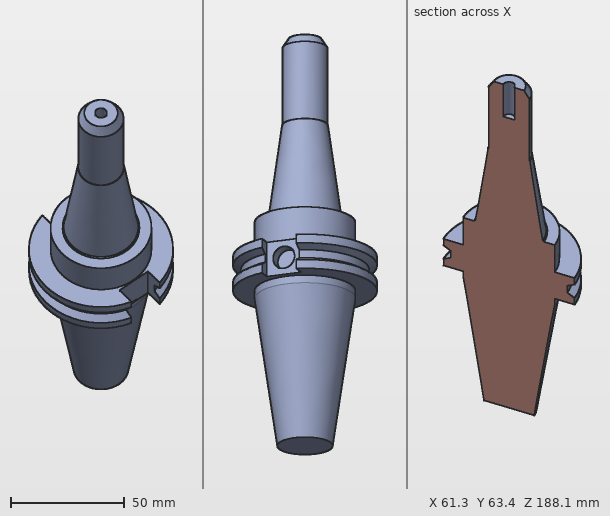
import cadquery as cq

total_height = 188.1
gauge_z = 68.3
flange_bottom_z = 71.7
flange_height = 15.8
collar_height = 15.8
neck_rim_height = 0.5
neck_top_z = 148.3
tip_chamfer_height = 4.1

taper_end_radius = 12.2
collar_radius = 22.2
flange_diameter = 63.4
flange_radius = flange_diameter / 2
neck_rim_radius = 17.0
neck_base_radius = 16.4
neck_top_radius = 10.2
shank_radius = 10.0
tip_radius = 7.3

bore_radius = 2.6
bore_depth = 18.8

groove_radius = 28.2
groove_floor_width = 3.8
groove_mouth_width = 7.7

slot_width = 16.2
left_slot_floor = 25.0
right_slot_floor = 22.5

pocket_radius = 5.0
pocket_depth = 5.6

flange_top_z = flange_bottom_z + flange_height
flange_mid_z = flange_bottom_z + flange_height / 2
collar_top_z = flange_top_z + collar_height
neck_base_z = collar_top_z + neck_rim_height


def turned_body():
    """Taper, flange, collar, conical neck and shank as one revolved profile."""
    profile = [
        (0, 0),
        (taper_end_radius, 0),
        (collar_radius, gauge_z),
        (collar_radius, flange_bottom_z),
        (flange_radius, flange_bottom_z),
        (flange_radius, flange_mid_z - groove_mouth_width / 2),
        (groove_radius, flange_mid_z - groove_floor_width / 2),
        (groove_radius, flange_mid_z + groove_floor_width / 2),
        (flange_radius, flange_mid_z + groove_mouth_width / 2),
        (flange_radius, flange_top_z),
        (collar_radius, flange_top_z),
        (collar_radius, collar_top_z),
        (neck_rim_radius, collar_top_z),
        (neck_base_radius, neck_base_z),
        (neck_top_radius, neck_top_z),
        (shank_radius, neck_top_z),
        (shank_radius, total_height - tip_chamfer_height),
        (tip_radius, total_height),
        (0, total_height),
    ]
    return cq.Workplane("XZ").polyline(profile).close().revolve(360, (0, 0), (0, 1))


def drive_slot(floor_distance, side):
    """Cutter for a slot across the flange; side is -1 for -X and +1 for +X."""
    return (
        cq.Workplane("XY")
        .box(flange_radius, slot_width, flange_height)
        .translate((side * (floor_distance + flange_radius / 2), 0, flange_mid_z))
    )


def slot_pocket():
    """Cutter running from the left slot floor towards the axis."""
    return (
        cq.Workplane("YZ", origin=(-left_slot_floor, 0, flange_mid_z))
        .circle(pocket_radius)
        .extrude(pocket_depth)
    )


def tip_bore():
    """Cutter for the blind bore running down from the tip."""
    return cq.Workplane("XY", origin=(0, 0, total_height)).circle(bore_radius).extrude(-bore_depth)


result = (
    turned_body()
    .cut(drive_slot(left_slot_floor, -1))
    .cut(drive_slot(right_slot_floor, 1))
    .cut(slot_pocket())
    .cut(tip_bore())
)